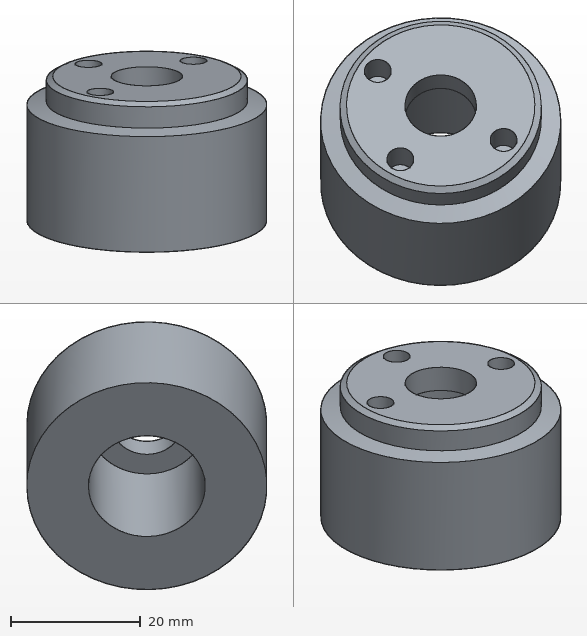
import cadquery as cq
import math

body_diameter = 37.0
total_height = 23.0
rim_height = 18.5
boss_diameter = 31.0
shoulder_angle = 10.0
chamfer_width = 1.0
chamfer_angle = 30.0

bore_diameter = 11.0
plate_thickness = 4.0
cavity_diameter = 18.0

pin_hole_diameter = 4.1
pin_hole_depth = 5.0
pin_circle_radius = 11.5
pin_angles = (90, 180, 270)


def turned_body():
    """Revolve the outer profile with its sloped shoulder and chamfered boss."""
    body_radius = body_diameter / 2
    boss_radius = boss_diameter / 2
    shoulder_rise = (body_radius - boss_radius) * math.tan(math.radians(shoulder_angle))
    chamfer_drop = chamfer_width * math.tan(math.radians(chamfer_angle))
    profile = [
        (0, 0),
        (body_radius, 0),
        (body_radius, rim_height),
        (boss_radius, rim_height + shoulder_rise),
        (boss_radius, total_height - chamfer_drop),
        (boss_radius - chamfer_width, total_height),
        (0, total_height),
    ]
    return cq.Workplane("XZ").polyline(profile).close().revolve(360, (0, 0), (0, 1))


def central_opening():
    """Bore through the top plate and the wider cavity below it."""
    cavity_depth = total_height - plate_thickness
    bore = cq.Workplane("XY").circle(bore_diameter / 2).extrude(total_height)
    cavity = cq.Workplane("XY").circle(cavity_diameter / 2).extrude(cavity_depth)
    return bore.union(cavity)


def pin_holes():
    """Blind holes spaced around the bore."""
    centers = [
        (
            pin_circle_radius * math.cos(math.radians(angle)),
            pin_circle_radius * math.sin(math.radians(angle)),
        )
        for angle in pin_angles
    ]
    floor = cq.Workplane("XY").workplane(offset=total_height - pin_hole_depth)
    return floor.pushPoints(centers).circle(pin_hole_diameter / 2).extrude(pin_hole_depth)


result = turned_body().cut(central_opening()).cut(pin_holes())